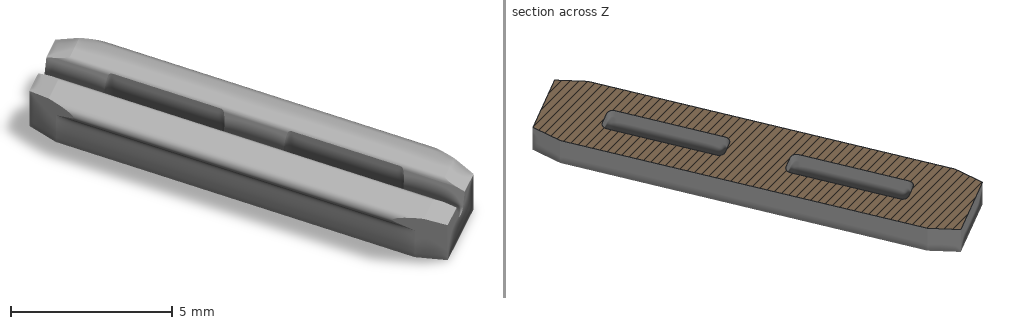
import cadquery as cq
import math

length = 14.0
height = 2.0
rail_width = 3.07
body_width = 2.7
outer_radius = 0.21
inner_radius = 0.17
flare_angle = math.radians(26)

end_width = 2.15
side_taper_angle = math.radians(15.3)
top_taper_length = 0.73
top_taper_drop = 0.21

groove_depth = 1.0
groove_wall_angle = math.radians(13)
groove_radius = 0.2

slot_count = 2
slot_length = 4.0
slot_width = 0.8
slot_corner_radius = 0.2
slot_spacing = (length - slot_count * slot_length) / (slot_count + 1)


def on_circle(center, radius, angle):
    """Return the point at an angle from +Y toward +Z in the cross-section."""
    return (center[0] + radius * math.cos(angle), center[1] + radius * math.sin(angle))


def make_body():
    """Extrude one half of the rail cross-section along X and mirror it."""
    floor_z = height - groove_depth
    outer_center_z = height - outer_radius
    quarter_turn = math.pi / 2

    outer_center = (rail_width / 2 - outer_radius, outer_center_z)
    flare_top = on_circle(outer_center, outer_radius, -flare_angle)
    outer_middle = on_circle(outer_center, outer_radius, (quarter_turn - flare_angle) / 2)
    flare_height = (flare_top[0] - body_width / 2) / math.tan(flare_angle)

    groove_center = (0, floor_z + groove_radius)
    wall_bottom = on_circle(groove_center, groove_radius, -groove_wall_angle)
    floor_middle = on_circle(groove_center, groove_radius, -(quarter_turn + groove_wall_angle) / 2)

    inner_center_z = height - inner_radius
    inner_center_y = (groove_radius + inner_radius) / math.cos(groove_wall_angle)
    inner_center_y += (inner_center_z - groove_center[1]) * math.tan(groove_wall_angle)
    inner_center = (inner_center_y, inner_center_z)
    wall_top_angle = math.pi - groove_wall_angle
    wall_top = on_circle(inner_center, inner_radius, wall_top_angle)
    inner_middle = on_circle(inner_center, inner_radius, (quarter_turn + wall_top_angle) / 2)

    half = (
        cq.Workplane("YZ", origin=(-length / 2, 0, 0))
        .lineTo(body_width / 2, 0)
        .lineTo(body_width / 2, flare_top[1] - flare_height)
        .lineTo(*flare_top)
        .threePointArc(outer_middle, (outer_center[0], height))
        .lineTo(inner_center_y, height)
        .threePointArc(inner_middle, wall_top)
        .lineTo(*wall_bottom)
        .threePointArc(floor_middle, (0, floor_z))
        .close()
        .extrude(length)
    )
    return half.union(half.mirror("XZ"))


def make_plan_envelope():
    """Make a prism whose sides taper inward toward both ends."""
    taper_length = (rail_width - end_width) / 2 / math.tan(side_taper_angle)
    straight_end = length / 2 - taper_length
    return (
        cq.Workplane("XY")
        .polyline([
            (-length / 2, -end_width / 2),
            (-straight_end, -rail_width / 2),
            (straight_end, -rail_width / 2),
            (length / 2, -end_width / 2),
            (length / 2, end_width / 2),
            (straight_end, rail_width / 2),
            (-straight_end, rail_width / 2),
            (-length / 2, end_width / 2),
        ])
        .close()
        .extrude(height)
    )


def make_side_envelope():
    """Make a prism whose top slopes down toward both ends."""
    end_height = height - top_taper_drop
    flat_end = length / 2 - top_taper_length
    return (
        cq.Workplane("XZ")
        .polyline([
            (-length / 2, 0),
            (length / 2, 0),
            (length / 2, end_height),
            (flat_end, height),
            (-flat_end, height),
            (-length / 2, end_height),
        ])
        .close()
        .extrude(rail_width / 2, both=True)
    )


def make_slots():
    """Make the row of rounded rectangular through slots."""
    pitch = slot_length + slot_spacing
    return (
        cq.Workplane("XY")
        .rarray(pitch, 0.14, slot_count, 1)
        .rect(slot_length, slot_width)
        .extrude(height)
        .edges("|Z")
        .fillet(slot_corner_radius)
    )


result = make_body()
result = result.intersect(make_plan_envelope())
result = result.intersect(make_side_envelope())
result = result.cut(make_slots())